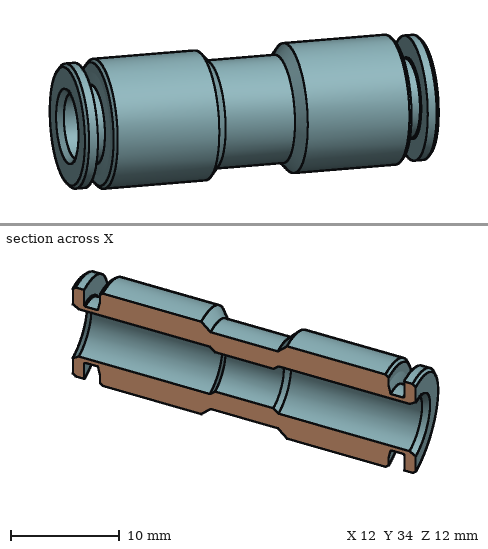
import cadquery as cq

length = 34.0
half_length = length / 2

body_radius = 6.0
waist_radius = 5.0
flange_radius = 5.78
neck_radius = 3.67
bore_radius = 2.5
tube_radius = 3.03
mouth_radius = 3.47

flange_thickness = 1.15
flange_chamfer = 0.3
neck_chamfer = 0.1

body_end_depth = 2.48
end_cone_height = 0.2
end_cone_radius = 4.75
edge_chamfer = 0.3
shoulder_depth = 12.75
shoulder_length = 0.92

lead_in_depth = 0.6
socket_depth = 13.6
socket_step = tube_radius - bore_radius

body_end = half_length - body_end_depth
flange_inner = half_length - flange_thickness
body_face = body_end - end_cone_height
shoulder = half_length - shoulder_depth

half_section = [
    (waist_radius, shoulder - shoulder_length),
    (body_radius, shoulder),
    (body_radius, body_face - edge_chamfer),
    (body_radius - edge_chamfer, body_face),
    (end_cone_radius, body_face),
    (neck_radius, body_end),
    (neck_radius, flange_inner - neck_chamfer),
    (neck_radius + neck_chamfer, flange_inner),
    (flange_radius, flange_inner),
    (flange_radius, half_length - flange_chamfer),
    (flange_radius - flange_chamfer, half_length),
    (mouth_radius, half_length),
    (tube_radius, half_length - lead_in_depth),
    (tube_radius, half_length - socket_depth),
    (bore_radius, half_length - socket_depth - socket_step),
]

mirrored_section = [(radius, -y) for radius, y in reversed(half_section)]
section = cq.Workplane("XY").polyline(half_section + mirrored_section).close()
result = section.revolve(360, (0, 0, 0), (0, 1, 0))